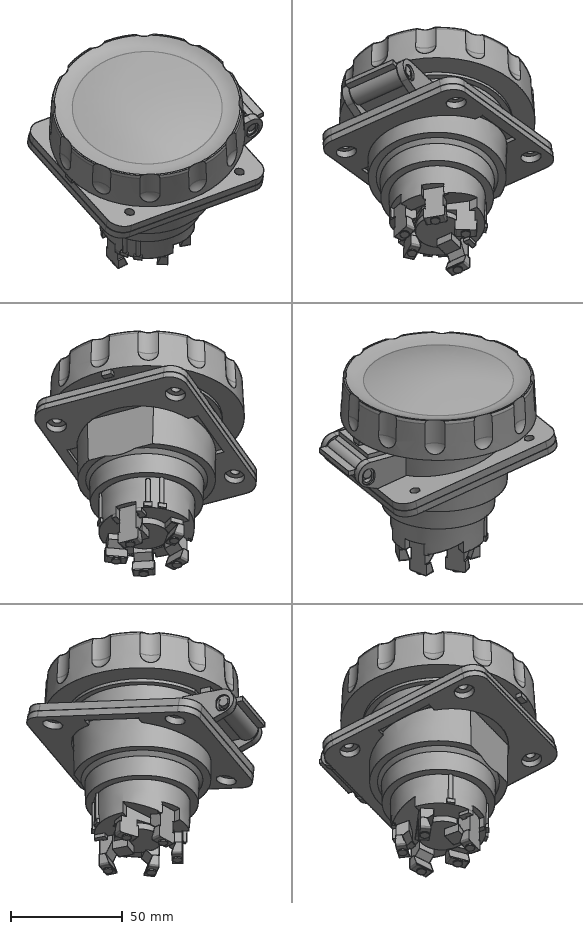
import cadquery as cq
import math

TOP_Z = 98.3
RIM_Z = 95.6
CAP_BOTTOM_Z = 76.3
COLLAR_RING_Z = 74.7
BODY_BOTTOM_Z = 43.3
SLEEVE_TOP_Z = 41.2
INSERT_TOP_Z = 31.5
INSERT_BOTTOM_Z = 15.5

CAP_RADIUS = 43.85
CAP_TOP_RADIUS = 43.0
CAP_EDGE = 1.4
CAP_EDGE_INSET = 0.5
DISH_SAG = 0.5
RIM_RADIUS = 41.7
DOME_RADIUS = 33.6
DOME_EDGE_Z = 93.6
GRIP_COUNT = 12
GRIP_ANGLE = 267.5
GRIP_RADIUS = 7.9
GRIP_DEPTH = 1.8
GRIP_END_Z = 84.1
CAP_TAB = (4.8, 2.95, 2.3)
CAP_TAB_OFFSET = 1.6

RING_RADIUS = 33.9
NECK_RADIUS = 31.3
BODY_RADIUS = 30.9
BODY_FLAT_Y = -26.35
CONE_RADIUS = 27.3
SLEEVE_RADIUS = 25.7
SLEEVE_BOTTOM_RADIUS = 25.3
KEY_RADIUS = 5.8
KEY_FRONT_Y = -35.1

FLANGE_TILT = 10.0
FLANGE_TOP_Z = 64.6
FLANGE_WIDTH = 75.1
FLANGE_LENGTH = 84.8
FLANGE_CORNER = 7.9
FLANGE_UPPER = 3.7
FLANGE_LOWER = 3.2
UPPER_INSET = 0.2
HOLE_X = 29.8
HOLE_Y = 30.2
HOLE_DIAMETER = 4.3
COUNTERBORE_DIAMETER = 9.0
POCKET_X = 32.7
POCKET_LENGTH = 26.5
POCKET_DEPTH = 2.0

BRACKET_OUTER_X = 16.5
BRACKET_INNER_X = 12.9
BRACKET_TOP_Z = 71.7
BRACKET_FRONT_Y = 26.4
BRACKET_FOOT_Y = 41.4
KNUCKLE_Y = 45.1
KNUCKLE_RADIUS = 6.2
PIN_Y = 46.0
PIN_Z = 65.5
PIN_RADIUS = 2.2
BARREL_RADIUS = 4.9
SLOT_Z = 64.5
SLOT_LENGTH = 6.2
SLOT_WIDTH = 4.5
SLOT_RIM = 1.0
SLOT_RIM_DEPTH = 1.0
LUG_END_Y = 54.3
LUG_BACK_Y = 33.8
LUG_STEP_Y = 38.5
LUG_SHOULDER_Y = 44.2
LUG_SHOULDER_Z = 73.7
LUG_SLOPE_Y = 50.0
TONGUE_TOP_Z = 67.9
TONGUE_BOTTOM_Z = 65.6
LUG_BOTTOM_Z = 61.9

INSERT_RADIUS = 21.6
INSERT_BOTTOM_RADIUS = 21.3
CORE_RADIUS = 10.8
CORE_Y = -2.0
CORE_BOTTOM_Z = 12.5
BLOCK_BOTTOM_Z = 8.5
BLOCK_SIZE = (7.9, 7.3)
BLOCK_Y = -9.1
TERMINAL_WIDTH = 9.8
NECK_WIDTH = 8.3
SHOULDER_Z = 6.5
FOOT_Z = 0.7
FOOT_FILLET = 0.8
SCREW_RADIUS = 2.2
TERMINAL_DEPTH = 6.1
FOOT_DEPTH = 4.7
WAIST_DEPTH = 2.95
EARTH_Y = -18.8
EARTH_NOTCH_Z = 18.9
EARTH_NOTCH_INSET = 1.5
EARTH_PAD_WIDTH = 14.7
EARTH_PAD_Y = -14.9
EARTH_PAD_BOTTOM_Z = 13.8
NOTCH_TOP_Z = 21.1
SIDE_NOTCH_LOW_Z = 16.2
SIDE_NOTCH_START_Y = -0.4
SIDE_NOTCH_END_Y = 14.3
SIDE_TERMINALS = (
    (-15.9, 0.5, 126.0, 3.4),
    (15.9, 0.5, 54.0, 6.2),
)
REAR_TERMINALS = (
    (-9.1, 15.9, 110.0, 3.4),
    (9.1, 15.9, 70.0, 3.4),
)
RIB_RADIUS = 1.1
RIB_BOTTOM_Z = 16.7
LONG_RIB_ANGLES = (225.0, 315.0)
SHORT_RIB_ANGLE = 298.0
SHORT_RIB_TOP_Z = 30.1
RIB_FOOT = (2.4, 3.7, 2.2)


def cylinder(radius, bottom, top, x=0.0, y=0.0):
    return cq.Workplane("XY").workplane(offset=bottom).center(x, y).circle(radius).extrude(top - bottom)


def make_cap():
    dome_sphere = (DOME_RADIUS**2 + (TOP_Z - DOME_EDGE_Z) ** 2) / (2 * (TOP_Z - DOME_EDGE_Z))
    half = DOME_RADIUS / 2
    half_z = TOP_Z - dome_sphere + math.sqrt(dome_sphere**2 - half**2)
    dish_mid = ((DOME_RADIUS + RIM_RADIUS) / 2, (DOME_EDGE_Z + RIM_Z) / 2 - DISH_SAG)
    cap = (
        cq.Workplane("XZ")
        .moveTo(0, CAP_BOTTOM_Z)
        .lineTo(CAP_RADIUS, CAP_BOTTOM_Z)
        .lineTo(CAP_TOP_RADIUS, RIM_Z - CAP_EDGE)
        .lineTo(CAP_TOP_RADIUS - CAP_EDGE_INSET, RIM_Z)
        .lineTo(RIM_RADIUS, RIM_Z)
        .threePointArc(dish_mid, (DOME_RADIUS, DOME_EDGE_Z))
        .threePointArc((half, half_z), (0, TOP_Z))
        .close()
        .revolve(360, (0, 0, 0), (0, 1, 0))
    )
    grip_x = CAP_TOP_RADIUS + GRIP_RADIUS - GRIP_DEPTH
    grip = cylinder(GRIP_RADIUS, GRIP_END_Z, TOP_Z + CAP_EDGE, grip_x)
    grip = grip.union(cq.Workplane("XY").sphere(GRIP_RADIUS).translate((grip_x, 0, GRIP_END_Z)))
    lean = math.degrees(math.atan((CAP_RADIUS - CAP_TOP_RADIUS) / (RIM_Z - CAP_EDGE - CAP_BOTTOM_Z)))
    grip = grip.rotate((CAP_TOP_RADIUS, 0, RIM_Z), (CAP_TOP_RADIUS, 1, RIM_Z), -lean)
    for i in range(GRIP_COUNT):
        angle = GRIP_ANGLE + i * 360 / GRIP_COUNT
        cap = cap.cut(grip.rotate((0, 0, 0), (0, 0, 1), angle))
    width, depth, height = CAP_TAB
    tab_y = math.sqrt(CAP_RADIUS**2 - (CAP_TAB_OFFSET + width / 2) ** 2) - depth / 2
    for side in (-1, 1):
        tab = cq.Workplane("XY").box(width, depth, height)
        cap = cap.union(tab.translate((-side * CAP_TAB_OFFSET, side * tab_y, CAP_BOTTOM_Z - height / 2)))
    return cap


def make_body():
    body = (
        cq.Workplane("XZ")
        .moveTo(0, INSERT_TOP_Z)
        .lineTo(SLEEVE_BOTTOM_RADIUS, INSERT_TOP_Z)
        .lineTo(SLEEVE_RADIUS, SLEEVE_TOP_Z)
        .lineTo(CONE_RADIUS, BODY_BOTTOM_Z)
        .lineTo(BODY_RADIUS, BODY_BOTTOM_Z)
        .lineTo(NECK_RADIUS, COLLAR_RING_Z)
        .lineTo(RING_RADIUS, COLLAR_RING_Z)
        .lineTo(RING_RADIUS, CAP_BOTTOM_Z)
        .lineTo(0, CAP_BOTTOM_Z)
        .close()
        .revolve(360, (0, 0, 0), (0, 1, 0))
    )
    flat = cq.Workplane("XY").box(2 * RING_RADIUS, RING_RADIUS, FLANGE_TOP_Z - SLEEVE_TOP_Z,
                                  centered=(True, False, False))
    body = body.cut(flat.translate((0, BODY_FLAT_Y - RING_RADIUS, SLEEVE_TOP_Z)))
    ring_gap = cq.Workplane("XY").box(2 * RING_RADIUS, RING_RADIUS, CAP_BOTTOM_Z - COLLAR_RING_Z,
                                      centered=(True, False, False))
    body = body.cut(ring_gap.translate((0, NECK_RADIUS, COLLAR_RING_Z)))
    return body.union(cylinder(KEY_RADIUS, FLANGE_TOP_Z, CAP_BOTTOM_Z, 0, KEY_FRONT_Y + KEY_RADIUS))


def make_flange():
    thickness = FLANGE_UPPER + FLANGE_LOWER
    upper = (
        cq.Workplane("XY")
        .rect(FLANGE_WIDTH - 2 * UPPER_INSET, FLANGE_LENGTH - 2 * UPPER_INSET)
        .extrude(-FLANGE_UPPER)
        .edges("|Z")
        .fillet(FLANGE_CORNER)
    )
    lower = (
        cq.Workplane("XY")
        .workplane(offset=-FLANGE_UPPER)
        .rect(FLANGE_WIDTH, FLANGE_LENGTH)
        .extrude(-FLANGE_LOWER)
        .edges("|Z")
        .fillet(FLANGE_CORNER)
    )
    flange = upper.union(lower)
    for x in (-HOLE_X, HOLE_X):
        for y in (-HOLE_Y, HOLE_Y):
            flange = flange.cut(cylinder(HOLE_DIAMETER / 2, -thickness, 0, x, y))
            flange = flange.cut(cylinder(COUNTERBORE_DIAMETER / 2, -thickness, -FLANGE_UPPER, x, y))
    pocket = cq.Workplane("XY").box(2 * POCKET_X, POCKET_LENGTH, POCKET_DEPTH)
    flange = flange.cut(pocket.translate((0, 0, POCKET_DEPTH / 2 - thickness)))
    opening = cylinder(BODY_RADIUS, -thickness, -FLANGE_UPPER)
    flange = flange.cut(opening)
    return flange.rotate((0, 0, 0), (1, 0, 0), -FLANGE_TILT).translate((0, 0, FLANGE_TOP_Z))


def pin_slot(length, width, depth):
    """Upright slot around the hinge pin, from X = 0 to X = depth."""
    return (
        cq.Workplane("YZ")
        .center(PIN_Y, SLOT_Z)
        .slot2D(length, width, 90)
        .extrude(depth)
    )


def make_hinge():
    knuckle_z = BRACKET_TOP_Z - KNUCKLE_RADIUS
    foot_z = FLANGE_TOP_Z - BRACKET_FOOT_Y * math.tan(math.radians(FLANGE_TILT))
    front_z = FLANGE_TOP_Z - BRACKET_FRONT_Y * math.tan(math.radians(FLANGE_TILT)) - FLANGE_UPPER
    foot_dy = BRACKET_FOOT_Y - KNUCKLE_Y
    foot_dz = foot_z - knuckle_z
    tangent = math.atan2(foot_dz, foot_dy) + math.acos(KNUCKLE_RADIUS / math.hypot(foot_dy, foot_dz))
    tangent_point = (
        KNUCKLE_Y + KNUCKLE_RADIUS * math.cos(tangent),
        knuckle_z + KNUCKLE_RADIUS * math.sin(tangent),
    )
    bracket = (
        cq.Workplane("YZ")
        .workplane(offset=BRACKET_INNER_X)
        .moveTo(BRACKET_FRONT_Y, BRACKET_TOP_Z)
        .lineTo(KNUCKLE_Y, BRACKET_TOP_Z)
        .threePointArc((KNUCKLE_Y + KNUCKLE_RADIUS, knuckle_z), tangent_point)
        .lineTo(BRACKET_FOOT_Y, foot_z)
        .lineTo(BRACKET_FOOT_Y - UPPER_INSET, foot_z - FLANGE_UPPER / 2)
        .lineTo(BRACKET_FRONT_Y, front_z)
        .close()
        .extrude(BRACKET_OUTER_X - BRACKET_INNER_X)
    )
    bracket = bracket.cut(pin_slot(SLOT_LENGTH, SLOT_WIDTH, BRACKET_OUTER_X))
    rim = pin_slot(SLOT_LENGTH + 2 * SLOT_RIM, SLOT_WIDTH + 2 * SLOT_RIM, SLOT_RIM_DEPTH)
    bracket = bracket.cut(rim.translate((BRACKET_OUTER_X - SLOT_RIM_DEPTH, 0, 0)))
    lug = (
        cq.Workplane("YZ")
        .polyline([
            (LUG_BACK_Y, CAP_BOTTOM_Z),
            (LUG_STEP_Y, CAP_BOTTOM_Z),
            (LUG_STEP_Y, LUG_SHOULDER_Z),
            (LUG_SHOULDER_Y, LUG_SHOULDER_Z),
            (LUG_SHOULDER_Y, BRACKET_TOP_Z),
            (LUG_SLOPE_Y, TONGUE_TOP_Z),
            (LUG_END_Y, TONGUE_TOP_Z),
            (LUG_END_Y, TONGUE_BOTTOM_Z),
            (LUG_SLOPE_Y, TONGUE_BOTTOM_Z),
            (PIN_Y, LUG_BOTTOM_Z),
            (LUG_BACK_Y, LUG_BOTTOM_Z),
        ])
        .close()
        .extrude(BRACKET_INNER_X, both=True)
    )
    barrel = cq.Workplane("YZ").center(PIN_Y, PIN_Z).circle(BARREL_RADIUS)
    lug = lug.union(barrel.extrude(BRACKET_INNER_X, both=True))
    pin_half = BRACKET_OUTER_X - SLOT_RIM_DEPTH
    pin = cq.Workplane("YZ").center(PIN_Y, PIN_Z).circle(PIN_RADIUS).extrude(pin_half, both=True)
    return lug.union(bracket).union(bracket.mirror("YZ")).union(pin)


def make_terminal(drop, top):
    """Terminal facing -Y with its outer face in the XZ plane, ending drop below the insert.

    Its stem reaches up to top, measured from its own screw end.
    """
    profile = (
        cq.Workplane("YZ")
        .polyline([
            (0, FOOT_Z),
            (0, top),
            (TERMINAL_DEPTH, top),
            (TERMINAL_DEPTH, drop - WAIST_DEPTH),
            (WAIST_DEPTH, SHOULDER_Z),
            (FOOT_DEPTH, 2 * FOOT_Z),
            (FOOT_DEPTH, FOOT_Z),
        ])
        .close()
        .extrude(TERMINAL_WIDTH / 2, both=True)
    )
    foot = (
        cq.Workplane("XZ")
        .rect(TERMINAL_WIDTH, 2 * (SHOULDER_Z - FOOT_Z))
        .extrude(-TERMINAL_DEPTH)
        .edges("|Y")
        .fillet(FOOT_FILLET)
        .translate((0, 0, SHOULDER_Z))
        .intersect(cq.Workplane("XY").box(2 * TERMINAL_WIDTH, 2 * TERMINAL_WIDTH, 2 * SHOULDER_Z))
    )
    neck = cq.Workplane("XY").workplane(offset=SHOULDER_Z).rect(NECK_WIDTH, 2 * TERMINAL_DEPTH)
    outline = foot.union(neck.extrude(top))
    screw = cylinder(SCREW_RADIUS, 0, FOOT_Z, 0, FOOT_DEPTH / 2)
    return profile.intersect(outline).union(screw)


def place_terminal(shape, x, y, facing, height=0.0):
    return shape.rotate((0, 0, 0), (0, 0, 1), facing - 270).translate((x, y, height))


def make_notch(width, top):
    """Block in front of a terminal that faces -Y, from Z = 0 up to top."""
    return cq.Workplane("XY").center(0, -INSERT_RADIUS / 2).rect(width, INSERT_RADIUS).extrude(top)


def make_insert():
    insert = (
        cq.Workplane("XY")
        .workplane(offset=INSERT_BOTTOM_Z)
        .circle(INSERT_BOTTOM_RADIUS)
        .workplane(offset=INSERT_TOP_Z - INSERT_BOTTOM_Z)
        .circle(INSERT_RADIUS)
        .loft()
    )
    ribs = [(angle, INSERT_TOP_Z) for angle in LONG_RIB_ANGLES]
    ribs.append((SHORT_RIB_ANGLE, SHORT_RIB_TOP_Z))
    for angle, top in ribs:
        rib = cylinder(RIB_RADIUS, RIB_BOTTOM_Z, top, INSERT_BOTTOM_RADIUS)
        foot = cq.Workplane("XY").box(*RIB_FOOT).translate((INSERT_BOTTOM_RADIUS, 0, RIB_BOTTOM_Z))
        insert = insert.union(rib.union(foot).rotate((0, 0, 0), (0, 0, 1), angle))

    pad = cylinder(INSERT_BOTTOM_RADIUS, EARTH_PAD_BOTTOM_Z, INSERT_BOTTOM_Z)
    pad_area = cq.Workplane("XY").box(EARTH_PAD_WIDTH, INSERT_RADIUS, INSERT_TOP_Z,
                                      centered=(True, False, False))
    insert = insert.union(pad.intersect(pad_area.translate((0, EARTH_PAD_Y - INSERT_RADIUS, 0))))

    earth_notch = make_notch(TERMINAL_WIDTH, EARTH_NOTCH_Z)
    insert = insert.cut(earth_notch.translate((0, EARTH_Y + EARTH_NOTCH_INSET, 0)))
    rear_notch = make_notch(TERMINAL_WIDTH, NOTCH_TOP_Z)
    for x, y, facing, _ in REAR_TERMINALS:
        insert = insert.cut(place_terminal(rear_notch, x, y, facing))
    sloped = (
        cq.Workplane("YZ")
        .polyline([
            (SIDE_NOTCH_START_Y, 0),
            (SIDE_NOTCH_START_Y, NOTCH_TOP_Z),
            (SIDE_NOTCH_END_Y, SIDE_NOTCH_LOW_Z),
            (SIDE_NOTCH_END_Y, 0),
        ])
        .close()
        .extrude(INSERT_RADIUS, both=True)
    )
    wide_notch = make_notch(4 * INSERT_RADIUS, NOTCH_TOP_Z)
    for x, y, facing, _ in SIDE_TERMINALS:
        insert = insert.cut(sloped.intersect(place_terminal(wide_notch, x, y, facing)))

    insert = insert.union(cylinder(CORE_RADIUS, CORE_BOTTOM_Z, INSERT_BOTTOM_Z, 0, CORE_Y))
    block = cq.Workplane("XY").workplane(offset=BLOCK_BOTTOM_Z).center(0, BLOCK_Y).rect(*BLOCK_SIZE)
    insert = insert.union(block.extrude(INSERT_BOTTOM_Z - BLOCK_BOTTOM_Z))

    insert = insert.union(place_terminal(make_terminal(INSERT_BOTTOM_Z, EARTH_NOTCH_Z), 0, EARTH_Y, 270))
    for x, y, facing, height in SIDE_TERMINALS + REAR_TERMINALS:
        terminal = make_terminal(INSERT_BOTTOM_Z - height, NOTCH_TOP_Z - height)
        insert = insert.union(place_terminal(terminal, x, y, facing, height))
    return insert


result = (
    make_body()
    .union(make_flange())
    .union(make_cap())
    .union(make_hinge())
    .union(make_insert())
)